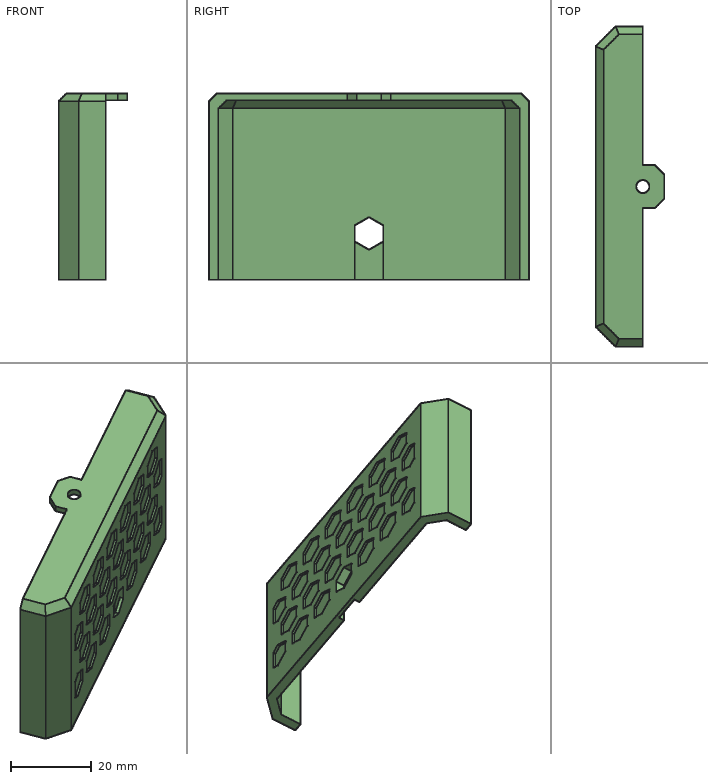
import cadquery as cq
import math

case_depth = 11.8
case_length = 80.0
case_height = 46.6
corner_cut = 5.0
top_chamfer = 2.0
wall = 2.4

tab_size = 10.8
tab_corner_cut = 2.4
tab_thickness = 1.8
tab_hole_diameter = 3.2

hex_flats = 7.0
hex_pitch = 10.0
hex_rows = 4
long_row_cells = 7
hex_recess_depth = 0.6
honeycomb_half_length = 32.0
lowest_row_height = 11.6

slot_floor_thickness = 0.9

half_length = case_length / 2
row_spacing = hex_pitch * math.sin(math.radians(60))
hex_corner_diameter = hex_flats / math.cos(math.radians(30))


def tapered_block(inset, height):
    """Case outline moved inward by inset, with a chamfer around the front and ends of its top."""
    front = inset
    end = half_length - inset
    cut = corner_cut - inset * (2 - math.sqrt(2))
    outline = [
        (case_depth, -end),
        (front + cut, -end),
        (front, -end + cut),
        (front, end - cut),
        (front + cut, end),
        (case_depth, end),
    ]
    block = cq.Workplane("XY").polyline(outline).close().extrude(height)
    return block.faces(">Z").edges("not >X").chamfer(top_chamfer)


def make_shell():
    outside = tapered_block(0, case_height)
    cavity = tapered_block(wall, case_height - tab_thickness)
    return outside.cut(cavity)


def make_tab():
    tab = (
        cq.Workplane("XY", origin=(case_depth, 0, case_height - tab_thickness))
        .rect(tab_size, tab_size)
        .extrude(tab_thickness)
    )
    return tab.edges("|Z and >X").chamfer(tab_corner_cut)


def make_tab_hole():
    return (
        cq.Workplane("XY", origin=(case_depth, 0, case_height - tab_thickness))
        .circle(tab_hole_diameter / 2)
        .extrude(tab_thickness)
    )


def hexagon_prism(y, z, depth):
    """Hexagon with its points up and down, running from the front face into the wall."""
    return (
        cq.Workplane("YZ", origin=(0, y, z))
        .transformed(rotate=(0, 0, 90))
        .polygon(6, hex_corner_diameter)
        .extrude(depth)
    )


def make_honeycomb():
    """All recesses; the outermost cells are cut off straight at the ends of the field."""
    field = cq.Workplane("XY").box(
        hex_recess_depth, 2 * honeycomb_half_length, case_height, centered=(False, True, False)
    )
    cells = cq.Workplane("XY")
    for row in range(hex_rows):
        count = long_row_cells - row % 2
        z = lowest_row_height + row * row_spacing
        for column in range(count):
            y = (column - (count - 1) / 2) * hex_pitch
            cells = cells.add(hexagon_prism(y, z, hex_recess_depth))
    return field.intersect(cells.combine())


def make_window():
    """The middle cell of the lowest row goes right through the front wall."""
    return hexagon_prism(0, lowest_row_height, wall)


def make_guide_slot():
    """Slot as wide as the window, cut from the inner face of the front wall."""
    return cq.Workplane("XY", origin=(slot_floor_thickness, 0, 0)).box(
        wall - slot_floor_thickness, hex_flats, lowest_row_height, centered=(False, True, False)
    )


result = make_shell().union(make_tab())
result = result.cut(make_tab_hole())
result = result.cut(make_honeycomb())
result = result.cut(make_window())
result = result.cut(make_guide_slot())